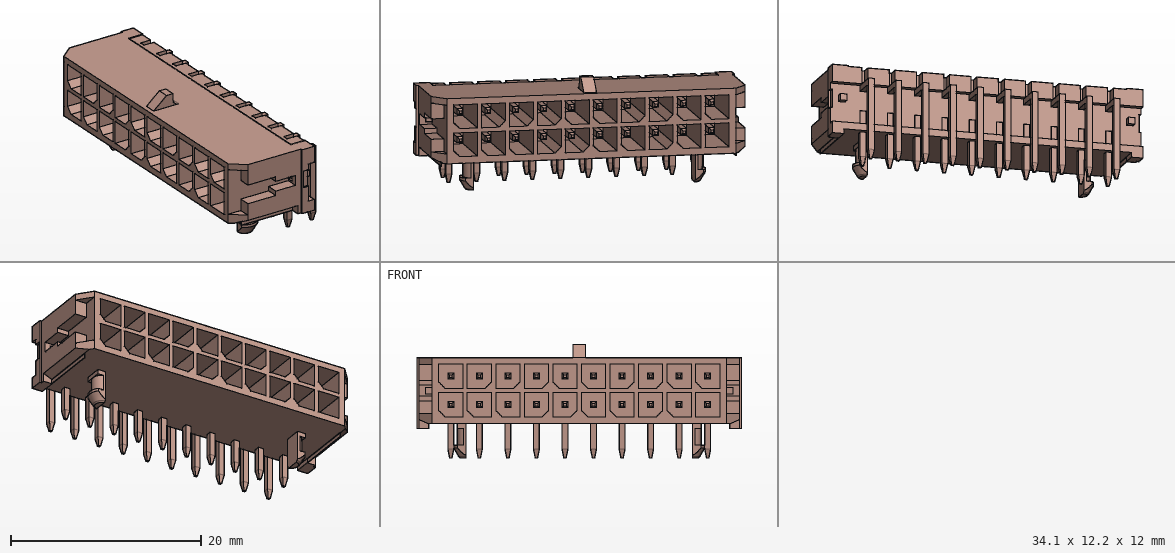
import cadquery as cq


columns = 10
pitch = 3.0
row_pitch = 3.0
lower_row_z = 2.51
upper_row_z = lower_row_z + row_pitch
column_xs = [(i - (columns - 1) / 2) * pitch for i in range(columns)]

pin_width = 0.64
pin_tip_width = 0.28
pin_tip_length = 0.5
pin_front_y = 2.5
overall_depth = 12.24
upper_tail_y = overall_depth - pin_width / 2
tail_pitch = 3.0
lower_tail_y = upper_tail_y - tail_pitch
upper_bend_z = 5.27
tail_bottom_z = -3.1
tail_end_width = 0.26
tail_taper_length = 0.94

overall_height = 11.95
latch_top_z = tail_bottom_z + overall_height
top_z = 7.47
base_z = 0.51
rear_y = 9.87
flange_half = 34.15 / 2
flange_front_y = 8.33
half_width = 16.85
corner_x = 1.35
corner_y = 1.62
pocket_floor_x = half_width - corner_x

foot_inner_x = 15.8
foot_rib = 0.06
foot_front_y = 1.44
slope_rear_y = 7.93
slope_outer_z = 0.95

back_wall_y = 9.15
back_notch_bottom_z = 1.26
back_notch_top_z = upper_bend_z + pin_width / 2
ledge_half = 15.3
ledge_front_y = 8.08
ledge_depth = 0.1
slot_front_y = 8.62
end_recess_front_y = 8.53
end_recess_bottom_z = 2.99
end_recess_top_z = 4.94
end_recess_depth = 0.22

pocket_mid_z = 3.99
pocket_steps = [(5.14, 2.18), (7.63, 1.14)]
corner_relief_bottom_z = 1.56
corner_relief_top_z = 6.76
key_size = 0.7
key_outer_x = 16.18
key_recess = 0.3

cavity_size = 2.55
cavity_depth = 7.5
cavity_chamfer = 0.67
upper_keys = "LRRRLLRRLL"
lower_keys = "LLLRRLLRL-"

latch_width = 1.36
latch_front_y = 0.54
latch_crest_front_y = 2.16
latch_back_y = 2.98
latch_fillet = 0.72

peg_axis_x = 11.73
peg_inner_x = 11.89
peg_mid_y = 4.58
peg_thickness = 2.03
peg_radius = 1.11
lip_radius = 1.46
lip_top_z = -1.75
lip_bottom_z = -2.05
cone_end_z = -2.95
cone_end_radius = 0.94
peg_tip_radius = 0.78


def box(x_range, y_range, z_range):
    """Axis-aligned block between pairs of X, Y and Z limits."""
    sizes = [high - low for low, high in (x_range, y_range, z_range)]
    corner = (x_range[0], y_range[0], z_range[0])
    return cq.Workplane("XY").box(*sizes, centered=False).translate(corner)


def with_mirror(left):
    """A feature of the -X end together with its mirror image at the +X end."""
    return left.union(left.mirror("YZ"))


def housing_shell():
    """Chamfered main block with the rear flange and the two feet."""
    block = box((-half_width, half_width), (0, rear_y), (0, top_z))
    corner = (
        cq.Workplane("XY")
        .polyline([(-half_width, 0), (-pocket_floor_x, 0), (-half_width, corner_y)])
        .close()
        .extrude(top_z)
    )
    block = block.cut(with_mirror(corner))
    flange = box((-flange_half, flange_half), (flange_front_y, rear_y), (0, top_z))
    underside = box((-foot_inner_x, foot_inner_x), (0, rear_y), (0, base_z))
    front_underside = box((-half_width, half_width), (0, foot_front_y), (0, base_z))
    return block.union(flange).cut(underside).cut(front_underside)


def side_slopes():
    """Cutters that slope the lower side edges, leaving a thin foot rib on the inside."""
    rib_x = foot_inner_x + foot_rib
    left = (
        cq.Workplane("XZ")
        .polyline([(-half_width, 0), (-rib_x, 0), (-rib_x, base_z), (-half_width, slope_outer_z)])
        .close()
        .extrude(-slope_rear_y)
    )
    return with_mirror(left)


def side_pockets():
    """Cutters for the stepped end pockets, the front corner reliefs and the key recesses."""
    x_range = (-half_width, -pocket_floor_x)
    left = box(x_range, (0, corner_y), (corner_relief_bottom_z, corner_relief_top_z))
    for step_rear_y, height in pocket_steps:
        z_range = (pocket_mid_z - height / 2, pocket_mid_z + height / 2)
        left = left.union(box(x_range, (0, step_rear_y), z_range))
    pocket_rear_y = pocket_steps[-1][0]
    left = left.union(key((pocket_rear_y, pocket_rear_y + key_recess)))
    return with_mirror(left)


def key(y_range):
    """Square bar along Y in line with the end pocket at -X."""
    z_range = (pocket_mid_z - key_size / 2, pocket_mid_z + key_size / 2)
    return box((-key_outer_x, -key_outer_x + key_size), y_range, z_range)


def rear_cuts():
    """Cutters for the rear notch, the top ledge with its contact slots and the end recesses."""
    cuts = box(
        (-flange_half, flange_half),
        (back_wall_y, rear_y),
        (back_notch_bottom_z, back_notch_top_z),
    )
    ledge = box((-ledge_half, ledge_half), (ledge_front_y, rear_y), (top_z - ledge_depth, top_z))
    cuts = cuts.union(ledge)
    for x in column_xs:
        x_range = (x - pin_width / 2, x + pin_width / 2)
        cuts = cuts.union(box(x_range, (slot_front_y, rear_y), (upper_bend_z, top_z)))
    end_recess = box(
        (-flange_half, -flange_half + end_recess_depth),
        (end_recess_front_y, back_wall_y),
        (end_recess_bottom_z, end_recess_top_z),
    )
    return cuts.union(with_mirror(end_recess))


def cavity(x, z, keyed_side):
    """Square contact cavity, with one lower corner bevelled when it is keyed."""
    half = cavity_size / 2
    if keyed_side == "-":
        outline = [(-half, half), (-half, -half), (half, -half), (half, half)]
    else:
        side = -1 if keyed_side == "L" else 1
        outline = [
            (-side * half, half),
            (-side * half, -half),
            (side * (half - cavity_chamfer), -half),
            (side * half, -half + cavity_chamfer),
            (side * half, half),
        ]
    return cq.Workplane("XZ", origin=(x, 0, z)).polyline(outline).close().extrude(-cavity_depth)


def latch():
    """Latching ramp on the top face with a filleted back."""
    return (
        cq.Workplane("YZ", origin=(-latch_width / 2, 0, 0))
        .moveTo(latch_front_y, top_z)
        .lineTo(latch_crest_front_y, latch_top_z)
        .lineTo(latch_back_y, latch_top_z)
        .lineTo(latch_back_y, top_z + latch_fillet)
        .radiusArc((latch_back_y + latch_fillet, top_z), -latch_fillet)
        .close()
        .extrude(latch_width)
    )


def pegs():
    """Snap pegs: barbed turned posts with flat front, back and inner sides, under square roots."""
    y_range = (peg_mid_y - peg_thickness / 2, peg_mid_y + peg_thickness / 2)
    turned = (
        cq.Workplane("XZ")
        .polyline([
            (0, 0),
            (peg_radius, 0),
            (peg_radius, lip_top_z),
            (lip_radius, lip_top_z),
            (lip_radius, lip_bottom_z),
            (cone_end_radius, cone_end_z),
            (peg_tip_radius, tail_bottom_z),
            (0, tail_bottom_z),
        ])
        .close()
        .revolve(360, (0, 0), (0, 1))
        .translate((-peg_axis_x, peg_mid_y, 0))
    )
    outer_x = peg_axis_x + lip_radius
    post = turned.intersect(box((-outer_x, -peg_inner_x), y_range, (tail_bottom_z, 0)))
    root = box((-peg_axis_x - peg_radius, -peg_inner_x), y_range, (0, base_z))
    return with_mirror(post.union(root))


def contact(x, contact_z, bend_z, tail_y):
    """Square contact with a pyramid tip, bent down into a tapered solder tail."""
    half = pin_width / 2
    x_range = (x - half, x + half)
    outer_y = tail_y + half
    shank_front_y = pin_front_y + pin_tip_length
    taper_top_z = tail_bottom_z + tail_taper_length
    shank = box(x_range, (shank_front_y, slot_front_y), (contact_z - half, contact_z + half))
    bend = box(x_range, (slot_front_y, outer_y), (bend_z - half, bend_z + half))
    tail = box(x_range, (tail_y - half, outer_y), (taper_top_z, bend_z))
    tip = (
        cq.Workplane("XZ", origin=(x, shank_front_y, contact_z))
        .rect(pin_width, pin_width)
        .workplane(offset=pin_tip_length)
        .rect(pin_tip_width, pin_tip_width)
        .loft()
    )
    tail_end = (
        cq.Workplane("XY", origin=(x, tail_y, taper_top_z))
        .rect(pin_width, pin_width)
        .workplane(offset=-tail_taper_length)
        .rect(tail_end_width, tail_end_width)
        .loft()
    )
    return shank.union(bend).union(tail).union(tip).union(tail_end)


housing = housing_shell().cut(side_slopes()).cut(side_pockets()).cut(rear_cuts())
for x, upper_key, lower_key in zip(column_xs, upper_keys, lower_keys):
    housing = housing.cut(cavity(x, upper_row_z, upper_key))
    housing = housing.cut(cavity(x, lower_row_z, lower_key))
rear_keys = with_mirror(key((back_wall_y, rear_y)))

result = housing.union(rear_keys).union(latch()).union(pegs())
for x in column_xs:
    result = result.union(contact(x, upper_row_z, upper_bend_z, upper_tail_y))
    result = result.union(contact(x, lower_row_z, lower_row_z, lower_tail_y))